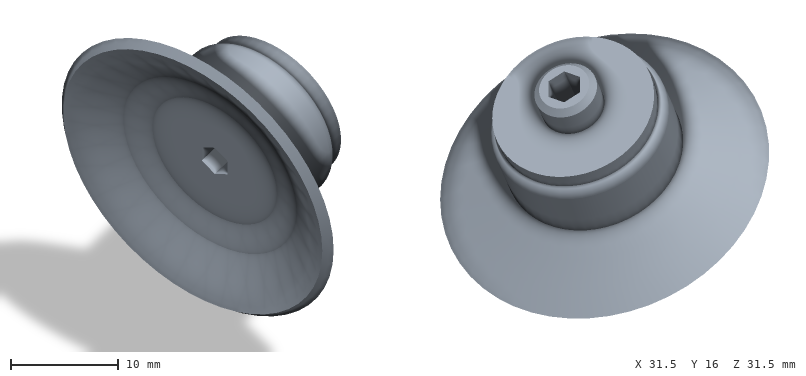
import cadquery as cq
import math


lip_diameter = 31.5
lip_bevel = 0.75
cone_end = 4.6

inner_step_diameter = 20.05
inner_step_depth = 2.65
floor_diameter = 14.4
floor_depth = 3.4

body_diameter = 17.0
body_end = 11.0
body_fillet = 1.05
plate_diameter = 15.5
plate_end = 12.6
pin_diameter = 6.0
pin_end = 16.0
pin_chamfer = 0.6

hex_across_flats = 3.0
hex_across_corners = hex_across_flats / math.cos(math.pi / 6)

lip_radius = lip_diameter / 2
body_radius = body_diameter / 2
plate_radius = plate_diameter / 2
pin_radius = pin_diameter / 2


def make_turned_body():
    """Revolve the half section (radius along X, axis along Y)."""
    fillet_top_radius = body_radius - body_fillet
    fillet_start = body_end - body_fillet
    fillet_mid = (
        fillet_top_radius + body_fillet * math.cos(math.pi / 4),
        fillet_start + body_fillet * math.sin(math.pi / 4),
    )
    section = (
        cq.Workplane("XY")
        .moveTo(0, floor_depth)
        .lineTo(floor_diameter / 2, floor_depth)
        .lineTo(inner_step_diameter / 2, inner_step_depth)
        .lineTo(lip_radius - lip_bevel, 0)
        .lineTo(lip_radius, lip_bevel)
        .lineTo(body_radius, cone_end)
        .lineTo(body_radius, fillet_start)
        .threePointArc(fillet_mid, (fillet_top_radius, body_end))
        .lineTo(plate_radius, body_end)
        .lineTo(plate_radius, plate_end)
        .lineTo(pin_radius, plate_end)
        .lineTo(pin_radius, pin_end - pin_chamfer)
        .lineTo(pin_radius - pin_chamfer, pin_end)
        .lineTo(0, pin_end)
        .close()
    )
    return section.revolve(360, (0, 0, 0), (0, 1, 0))


def make_hex_hole():
    """Hexagonal prism along +Y, as long as the whole part."""
    return (
        cq.Workplane("XZ")
        .transformed(rotate=(0, 0, 90))
        .polygon(6, hex_across_corners)
        .extrude(-pin_end)
    )


result = make_turned_body().cut(make_hex_hole())